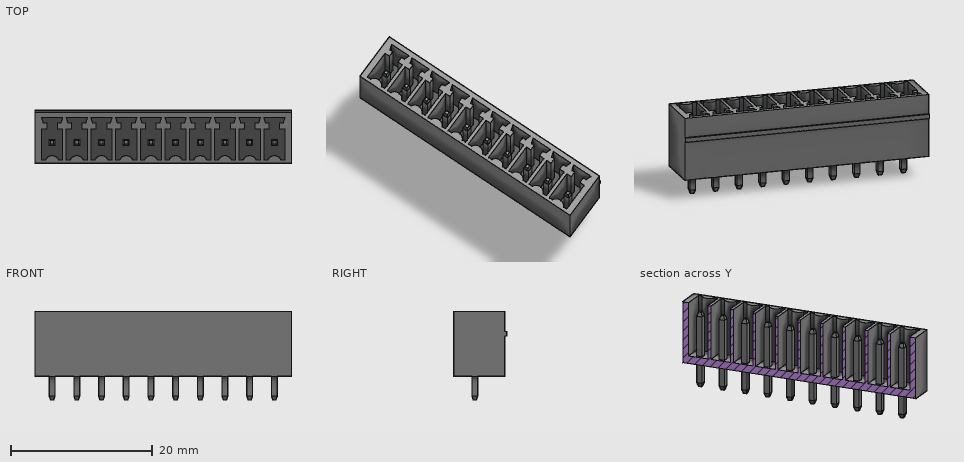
import cadquery as cq

pole_count = 10
pitch = 3.5
end_margin = 2.45
housing_length = (pole_count - 1) * pitch + 2 * end_margin
housing_depth = 7.25
housing_height = 9.2

rib_projection = 0.3
rib_height = 0.65
rib_bottom = 5.7

cavity_width = 3.0
floor_thickness = 1.2
cavity_front = 0.5
key_front = 4.85
key_back = 5.7
cavity_back = 6.5
neck_width = 1.5
dovetail_width = 2.5
bulge_chord = 1.85
bulge_height = 0.6

pin_width = 0.85
pin_y = 3.0
pin_tail = 3.4
pin_top = 7.8
tip_length = 0.6
tip_width = 0.45


def make_housing():
    """Rectangular block with a full-length rib on its back wall."""
    body = cq.Workplane("XY").box(
        housing_length, housing_depth, housing_height, centered=(True, False, False)
    )
    rib = (
        cq.Workplane("XY", origin=(0, housing_depth, rib_bottom))
        .box(housing_length, rib_projection, rib_height, centered=(True, False, False))
    )
    return body.union(rib)


def make_cavity():
    """Keyed plug cavity centred on X = 0, open at the top of the housing."""
    half_width = cavity_width / 2
    half_neck = neck_width / 2
    half_dovetail = dovetail_width / 2
    half_chord = bulge_chord / 2
    return (
        cq.Workplane("XY", origin=(0, 0, floor_thickness))
        .moveTo(-half_width, cavity_front)
        .lineTo(-half_chord, cavity_front)
        .threePointArc((0, cavity_front + bulge_height), (half_chord, cavity_front))
        .lineTo(half_width, cavity_front)
        .lineTo(half_width, key_front)
        .lineTo(half_neck, key_front)
        .lineTo(half_neck, key_back)
        .lineTo(half_dovetail, key_back)
        .lineTo(half_width, cavity_back)
        .lineTo(-half_width, cavity_back)
        .lineTo(-half_dovetail, key_back)
        .lineTo(-half_neck, key_back)
        .lineTo(-half_neck, key_front)
        .lineTo(-half_width, key_front)
        .close()
        .extrude(housing_height - floor_thickness)
    )


def make_tip(base_z, direction):
    """Tapered pin end starting at base_z; direction is +1 for up, -1 for down."""
    return (
        cq.Workplane("XY", origin=(0, pin_y, base_z))
        .rect(pin_width, pin_width)
        .workplane(offset=direction * tip_length)
        .rect(tip_width, tip_width)
        .loft()
    )


def make_pin():
    """Straight square contact pin centred on X = 0, tapered at both ends."""
    shank_bottom = tip_length - pin_tail
    shank_top = pin_top - tip_length
    shank = (
        cq.Workplane("XY", origin=(0, pin_y, shank_bottom))
        .rect(pin_width, pin_width)
        .extrude(shank_top - shank_bottom)
    )
    return shank.union(make_tip(shank_top, 1)).union(make_tip(shank_bottom, -1))


result = make_housing()
cavity = make_cavity()
pin = make_pin()
first_pole_x = end_margin - housing_length / 2
for pole in range(pole_count):
    pole_offset = (first_pole_x + pole * pitch, 0, 0)
    result = result.cut(cavity.translate(pole_offset)).union(pin.translate(pole_offset))